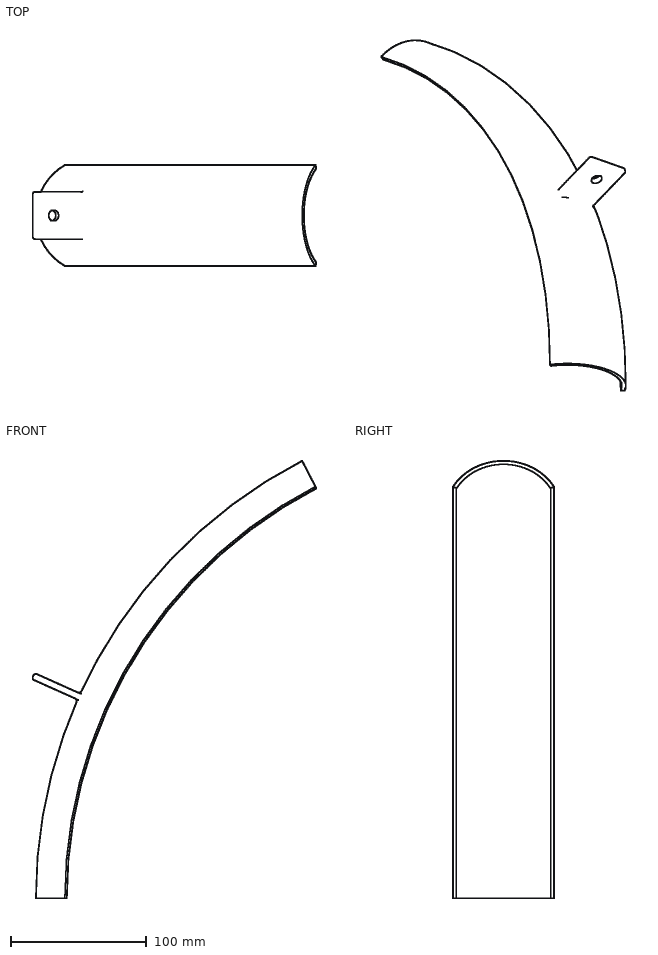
import cadquery as cq
import math

section_radius = 43.0
section_half_angle = 60.0
wall = 3.0
sweep_radius = 320.0
sweep_length = 350.0
sweep_angle = math.degrees(sweep_length / sweep_radius)

tab_position = 135.0
tab_angle = math.degrees(tab_position / sweep_radius)
tab_width = 35.0
tab_thickness = 5.0
tab_reach = 37.0
tab_edge_round = 2.0
tab_root_fillet = 2.0
hole_diameter = 8.0
hole_to_tip = 15.5

crown_radius = sweep_radius + section_radius
inner_section_radius = section_radius - wall
tab_tip_radius = crown_radius + tab_reach
seam_depth = 2 * wall


def section_point(radius, angle):
    """Point of the section at an angle from the crown, in the XY plane."""
    turn = math.radians(angle)
    return (-sweep_radius - radius * math.cos(turn), radius * math.sin(turn))


def make_guard():
    """Arched wall with radially cut edges, swept to both sides of the tab direction."""
    section = (
        cq.Workplane("XY")
        .moveTo(*section_point(section_radius, -section_half_angle))
        .threePointArc(
            section_point(section_radius, 0),
            section_point(section_radius, section_half_angle),
        )
        .lineTo(*section_point(inner_section_radius, section_half_angle))
        .threePointArc(
            section_point(inner_section_radius, 0),
            section_point(inner_section_radius, -section_half_angle),
        )
        .close()
    )
    swept = section.revolve(sweep_angle, (0, 0, 0), (0, 1, 0))
    return swept.rotate((0, 0, 0), (0, 1, 0), -tab_angle)


def make_tab():
    """Plate with rounded edges, its root trimmed to end inside the guard wall."""
    plate = (
        cq.Workplane("XY")
        .box(tab_tip_radius - sweep_radius, tab_width, tab_thickness)
        .translate((-(tab_tip_radius + sweep_radius) / 2, 0, 0))
        .edges("|X or <X")
        .fillet(tab_edge_round)
    )
    trim = (
        cq.Workplane("XY", origin=(-sweep_radius, 0, -tab_thickness))
        .circle(section_radius - wall / 2)
        .extrude(2 * tab_thickness)
    )
    return plate.cut(trim)


def fillet_tab_root(body):
    """Blend the tab into the crown along the seam where the two meet."""
    seam = cq.selectors.BoxSelector(
        (-crown_radius - wall, -tab_width, -tab_thickness),
        (-crown_radius + seam_depth, tab_width, tab_thickness),
        boundingbox=True,
    )
    return body.edges(seam).fillet(tab_root_fillet)


def drill_tab(body):
    """Through hole on the tab's centre line."""
    hole = (
        cq.Workplane("XY", origin=(-tab_tip_radius + hole_to_tip, 0, -tab_thickness))
        .circle(hole_diameter / 2)
        .extrude(2 * tab_thickness)
    )
    return body.cut(hole)


body = make_guard().union(make_tab())
body = drill_tab(fillet_tab_root(body))
result = body.rotate((0, 0, 0), (0, 1, 0), tab_angle)